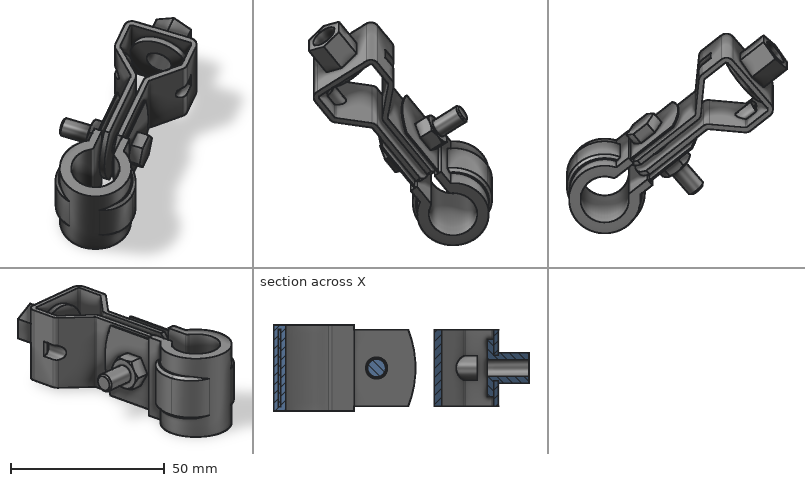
import cadquery as cq
import math


LINER_HEIGHT = 28.0
BORE_RADIUS = 7.85
LINER_RADIUS = 11.6
LIP_INNER_X = 3.5
LIP_OUTER_X = 6.1
LIP_END_Y = 15.1
MOUTH_ROUND = 1.25

PAD_HEIGHT = 15.0
PAD_CHAMFER = 1.0
PAD_RADIUS = 13.1
PAD_RUNOUT_RADIUS = 10.5
PAD_RUNOUT_ANGLE = 4.0

STRAP_WIDTH = 25.0
STRAP_THICKNESS = 0.5
STRAP_RADIUS = 10.0
STRAP_LEG_X = 5.0
STRAP_END_Y = 35.1
STRAP_END_RADIUS = 33.9

SHEET = 1.75
BRACKET_HEIGHT = STRAP_WIDTH
BRACKET_HALF_WIDTH = 12.4
ARM_OUTER_X = 3.1
ARM_END_Y = 11.8
ARM_END_RADIUS = 19.2
WAIST_Y = 40.7
SHOULDER_Y = WAIST_Y + BRACKET_HALF_WIDTH - ARM_OUTER_X
BRACKET_REAR_Y = 62.0
BEND_INNER_RADIUS = 0.7
BEND_OUTER_RADIUS = 2.7
GROOVE_RADIUS = 2.6
GROOVE_OPEN_Y = 55.0

BOLT_Y = 22.4
BOLT_DIAMETER = 6.0
BOLT_TIP_DIAMETER = 4.9
BOLT_TIP_X = -19.95
BOLT_HOLE_DIAMETER = 7.0
BOLT_HEX_FLATS = 10.0
HEAD_THICKNESS = 4.0
NUT_THICKNESS = 5.0
NUT_CHAMFER_DEPTH = 0.5

FLANGE_DIAMETER = 20.0
FLANGE_THICKNESS = 2.0
SHANK_DIAMETER = 10.5
REAR_HEX_FLATS = 12.0
REAR_HEX_END_Y = 71.9
REAR_BORE_DIAMETER = 8.5


def slab(sketch, height):
    """Extrude a horizontal sketch to a height centred on Z = 0."""
    return sketch.extrude(height / 2, both=True)


def centred_box(width, y_start, y_end, height):
    return slab(cq.Workplane("XY").center(0, (y_start + y_end) / 2).rect(width, y_end - y_start), height)


def x_cylinder(radius, y, x_start, x_end):
    return cq.Workplane("YZ", origin=(x_start, 0, 0)).center(y, 0).circle(radius).extrude(x_end - x_start)


def y_cylinder(diameter, y_start, y_end):
    return cq.Workplane("XZ", origin=(0, y_end, 0)).circle(diameter / 2).extrude(y_end - y_start)


def bolt_hole():
    return x_cylinder(BOLT_HOLE_DIAMETER / 2, BOLT_Y, -BRACKET_HALF_WIDTH, BRACKET_HALF_WIDTH)


def keyhole(radius, half_slot, end_y, height):
    """A cylinder joined to a straight block that runs from its axis to +Y."""
    cylinder = slab(cq.Workplane("XY").circle(radius), height)
    return cylinder.union(centred_box(2 * half_slot, 0, end_y, height))


def make_strap():
    outside = keyhole(STRAP_RADIUS, STRAP_LEG_X, STRAP_END_Y, STRAP_WIDTH)
    inner_radius = STRAP_RADIUS - STRAP_THICKNESS
    leg_inner_x = STRAP_LEG_X - STRAP_THICKNESS
    inside = keyhole(inner_radius, leg_inner_x, STRAP_END_Y, STRAP_WIDTH)
    rounded_end = x_cylinder(
        STRAP_END_RADIUS, STRAP_END_Y - STRAP_END_RADIUS, -BRACKET_HALF_WIDTH, BRACKET_HALF_WIDTH
    )
    return outside.cut(inside).intersect(rounded_end).cut(bolt_hole())


def make_pad():
    """Raised pad on the -X side: an arc about the bore axis that runs out into the liner."""
    lip_middle_x = (LIP_INNER_X + LIP_OUTER_X) / 2
    start_angle = math.acos(-lip_middle_x / PAD_RADIUS)
    seam_angle = math.pi + math.radians(PAD_RUNOUT_ANGLE)
    end_angle = 1.5 * math.pi
    runout_offset = PAD_RADIUS - PAD_RUNOUT_RADIUS
    runout_centre = (runout_offset * math.cos(seam_angle), runout_offset * math.sin(seam_angle))

    def on_pad(angle):
        return PAD_RADIUS * math.cos(angle), PAD_RADIUS * math.sin(angle)

    def on_runout(angle):
        x = runout_centre[0] + PAD_RUNOUT_RADIUS * math.cos(angle)
        y = runout_centre[1] + PAD_RUNOUT_RADIUS * math.sin(angle)
        return x, y

    outline = (
        cq.Workplane("XY")
        .moveTo(*on_pad(start_angle))
        .threePointArc(on_pad((start_angle + seam_angle) / 2), on_pad(seam_angle))
        .threePointArc(on_runout((seam_angle + end_angle) / 2), on_runout(end_angle))
        .close()
    )
    return slab(outline, PAD_HEIGHT).faces("|Z").edges().chamfer(PAD_CHAMFER)


def make_liner(strap):
    pad = make_pad()
    outside = keyhole(LINER_RADIUS, LIP_OUTER_X, LIP_END_Y, LINER_HEIGHT)
    outside = outside.union(pad).union(pad.mirror("YZ"))
    inside = keyhole(BORE_RADIUS, LIP_INNER_X, LIP_END_Y, LINER_HEIGHT)
    mouth_y = math.sqrt(BORE_RADIUS ** 2 - LIP_INNER_X ** 2)
    for side in (-1, 1):
        inside = inside.edges(
            cq.selectors.NearestToPointSelector((side * LIP_INNER_X, mouth_y, 0))
        ).fillet(MOUTH_ROUND)
    return outside.cut(inside).cut(strap)


def bend_selector(y_start, y_end):
    """Select the vertical edges of the bracket that lie between two places along Y."""
    margin = 0.4
    reach = BRACKET_HALF_WIDTH + margin
    box = cq.selectors.BoxSelector((-reach, y_start - margin, -margin), (reach, y_end + margin, margin))
    return cq.selectors.AndSelector(cq.selectors.ParallelDirSelector(cq.Vector(0, 0, 1)), box)


def bracket_block(inset, convex_radius, concave_radius):
    """Solid block inside the bracket outline, moved inwards by the inset, with rounded bends."""
    bend_shift = inset * math.tan(math.radians(22.5))
    arm_x = ARM_OUTER_X - inset
    side_x = BRACKET_HALF_WIDTH - inset
    waist_y = WAIST_Y + bend_shift
    shoulder_y = SHOULDER_Y + bend_shift
    rear_y = BRACKET_REAR_Y - inset
    right_side = [(arm_x, ARM_END_Y), (arm_x, waist_y), (side_x, shoulder_y), (side_x, rear_y)]
    left_side = [(-x, y) for x, y in reversed(right_side)]
    block = slab(cq.Workplane("XY").polyline(right_side + left_side).close(), BRACKET_HEIGHT)
    block = block.edges(bend_selector((waist_y + shoulder_y) / 2, rear_y)).fillet(convex_radius)
    return block.edges(bend_selector(waist_y, waist_y)).fillet(concave_radius)


def groove_cylinder(side, radius):
    """Cylinder along Y on a side face of the bracket, from the groove's open end to the waist."""
    workplane = cq.Workplane("XZ", origin=(side * BRACKET_HALF_WIDTH, GROOVE_OPEN_Y, 0))
    return workplane.circle(radius).extrude(GROOVE_OPEN_Y - WAIST_Y)


def make_bracket():
    outside = bracket_block(0, BEND_OUTER_RADIUS, BEND_INNER_RADIUS)
    inside = bracket_block(SHEET, BEND_INNER_RADIUS, BEND_OUTER_RADIUS)
    bracket = outside.cut(inside)
    for side in (-1, 1):
        bulge = groove_cylinder(side, GROOVE_RADIUS + SHEET).intersect(outside)
        bracket = bracket.union(bulge).cut(groove_cylinder(side, GROOVE_RADIUS))
    arm_end = x_cylinder(
        ARM_END_RADIUS, ARM_END_Y + ARM_END_RADIUS, -BRACKET_HALF_WIDTH, BRACKET_HALF_WIDTH
    )
    behind_end = centred_box(
        2 * BRACKET_HALF_WIDTH, ARM_END_Y + ARM_END_RADIUS, BRACKET_REAR_Y, BRACKET_HEIGHT
    )
    bracket = bracket.intersect(arm_end.union(behind_end))
    rear_hole = y_cylinder(SHANK_DIAMETER, BRACKET_REAR_Y - SHEET, BRACKET_REAR_Y)
    return bracket.cut(bolt_hole()).cut(rear_hole)


def bolt_hexagon(x_start, thickness):
    corner_diameter = BOLT_HEX_FLATS / math.cos(math.pi / 6)
    workplane = cq.Workplane("YZ", origin=(x_start, 0, 0)).center(BOLT_Y, 0)
    return workplane.polygon(6, corner_diameter).extrude(thickness)


def make_bolt():
    shaft = x_cylinder(BOLT_DIAMETER / 2, BOLT_Y, BOLT_TIP_X, STRAP_LEG_X)
    shaft = shaft.faces("<X").chamfer((BOLT_DIAMETER - BOLT_TIP_DIAMETER) / 2)
    return shaft.union(bolt_hexagon(STRAP_LEG_X, HEAD_THICKNESS))


def make_nut():
    outer_x = -STRAP_LEG_X - NUT_THICKNESS
    corner_radius = BOLT_HEX_FLATS / 2 / math.cos(math.pi / 6)
    envelope = x_cylinder(corner_radius, BOLT_Y, outer_x, -STRAP_LEG_X)
    envelope = envelope.faces("<X").chamfer(NUT_CHAMFER_DEPTH, corner_radius - BOLT_HEX_FLATS / 2)
    bore = x_cylinder(BOLT_DIAMETER / 2, BOLT_Y, outer_x, -STRAP_LEG_X)
    return bolt_hexagon(outer_x, NUT_THICKNESS).intersect(envelope).cut(bore)


def make_flanged_nut():
    inner_wall_y = BRACKET_REAR_Y - SHEET
    flange_y = inner_wall_y - FLANGE_THICKNESS
    flange = y_cylinder(FLANGE_DIAMETER, flange_y, inner_wall_y)
    shank = y_cylinder(SHANK_DIAMETER, inner_wall_y, BRACKET_REAR_Y)
    hexagon = (
        cq.Workplane("XZ", origin=(0, REAR_HEX_END_Y, 0))
        .transformed(rotate=(0, 0, 90))
        .polygon(6, REAR_HEX_FLATS / math.cos(math.pi / 6))
        .extrude(REAR_HEX_END_Y - BRACKET_REAR_Y)
    )
    bore = y_cylinder(REAR_BORE_DIAMETER, flange_y, REAR_HEX_END_Y)
    return flange.union(shank).union(hexagon).cut(bore)


strap = make_strap()
liner = make_liner(strap)
bracket = make_bracket()
bolt = make_bolt()
nut = make_nut()
flanged_nut = make_flanged_nut()

result = cq.Compound.makeCompound(
    [liner.val(), strap.val(), bracket.val(), bolt.val(), nut.val(), flanged_nut.val()]
)